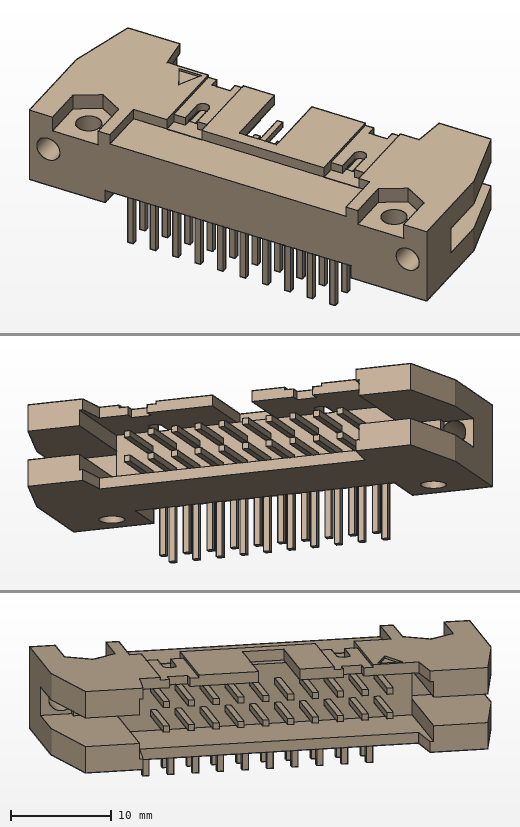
import cadquery as cq
import math


length = 45.0
depth = 17.3
height = 8.45
mid_z = height / 2
mouth_y = 13.8
lower_mouth_y = 13.72
arm_root_x = 14.25
arm_tip_inner_x = 14.65
arm_tip_outer_x = 20.55
taper_start_y = 10.0

wall = 1.12
cavity_length = 30.05
cavity_floor_y = 7.3
slot_height = 2.95
slot_outer_floor_y = 5.15
slot_inner_floor_y = 6.0
slot_step_x = 19.3

pins_per_row = 10
row_span = 22.85
pitch = row_span / (pins_per_row - 1)
pin_size = 0.65
pin_tip_y = 13.4
leg_drop = 4.55
rear_leg_y = 1.05

ledge_length = 26.75
ledge_depth_y = 5.0
pin_relief_length = 27.8
pin_relief_height = 1.5

hole_diameter = 2.6
nut_x = 17.3
nut_y = 2.85
nut_flats = 5.18
nut_trap_depth = 1.65
side_hole_x = 20.35
side_hole_z = 4.4

key_width = 4.25
key_floor_y = 6.35

channel_pitches = (-3, 4)
channel_width = 3.95
channel_depth = 0.25
channel_floor_depth = 1.15
channel_step_y = 6.5
window_width = 1.35
window_end_y = 9.6
nick_width = 2.05
nick_y = 12.8

mark_width = 2.5
mark_base_y = 13.4
mark_tip_y = 10.95
mark_depth = 0.22


def block(x_range, y_range, z_range):
    """Axis-aligned box spanning the given ranges."""
    (x0, x1), (y0, y1), (z0, z1) = x_range, y_range, z_range
    corner = cq.Workplane("XY", origin=(x0, y0, z0))
    return corner.box(x1 - x0, y1 - y0, z1 - z0, centered=False)


def centered_block(center_x, width, y_range, z_range):
    """Box of the given width about center_x."""
    return block((center_x - width / 2, center_x + width / 2), y_range, z_range)


def make_shell():
    half = length / 2
    right_side = [
        (half, 0),
        (half, taper_start_y),
        (arm_tip_outer_x, depth),
        (arm_tip_inner_x, depth),
        (arm_root_x, mouth_y),
    ]
    left_side = [(-x, y) for x, y in reversed(right_side)]
    shell = cq.Workplane("XY").polyline(right_side + left_side).close().extrude(height)
    lower_trim = centered_block(0, 2 * arm_root_x, (lower_mouth_y, depth), (0, mid_z))
    cavity = centered_block(0, cavity_length, (cavity_floor_y, depth), (wall, height - wall))
    return shell.cut(lower_trim).cut(cavity)


def make_latch_slots():
    z_range = (mid_z - slot_height / 2, mid_z + slot_height / 2)
    slots = centered_block(0, length, (cavity_floor_y, depth), z_range)
    steps = ((slot_step_x, slot_outer_floor_y), (cavity_length / 2, slot_inner_floor_y))
    for side in (-1, 1):
        for inner_x, floor_y in steps:
            x_range = sorted((side * inner_x, side * length / 2))
            slots = slots.union(block(x_range, (floor_y, depth), z_range))
    return slots


def make_rear_steps():
    top_ledge = centered_block(0, ledge_length, (0, ledge_depth_y), (height - wall, height))
    pin_relief = centered_block(0, pin_relief_length, (0, ledge_depth_y), (0, pin_relief_height))
    return top_ledge.union(pin_relief)


def make_mounting_cuts():
    sides = (-1, 1)
    holes = (
        cq.Workplane("XY")
        .pushPoints([(side * nut_x, nut_y) for side in sides])
        .circle(hole_diameter / 2)
        .extrude(height)
    )
    side_holes = (
        cq.Workplane("XZ")
        .pushPoints([(side * side_hole_x, side_hole_z) for side in sides])
        .circle(hole_diameter / 2)
        .extrude(-slot_outer_floor_y)
    )
    radius = nut_flats / math.sqrt(3)
    half_width = nut_flats / 2
    shoulder_y = nut_y + radius / 2
    outline = [
        (-half_width, 0),
        (half_width, 0),
        (half_width, shoulder_y),
        (0, nut_y + radius),
        (-half_width, shoulder_y),
    ]
    trap = cq.Workplane("XY").polyline(outline).close().extrude(nut_trap_depth)
    cuts = holes.union(side_holes)
    for side in sides:
        cuts = cuts.union(trap.translate((side * nut_x, 0, height - nut_trap_depth)))
    return cuts


def make_channel(center_x):
    """Shallow channel with a deep rear end, a round-ended window and a nick at the mouth."""
    through_wall = (height - wall, height)
    floor_z = height - channel_floor_depth
    skim = (height - channel_depth, height)
    channel = centered_block(center_x, channel_width, (ledge_depth_y, depth), skim)
    rear_end = centered_block(center_x, channel_width, (ledge_depth_y, channel_step_y), (floor_z, height))
    round_y = window_end_y - window_width / 2
    window = centered_block(center_x, window_width, (channel_step_y, round_y), (floor_z, height))
    window_round = (
        cq.Workplane("XY", origin=(center_x, round_y, floor_z))
        .circle(window_width / 2)
        .extrude(channel_floor_depth)
    )
    nick = centered_block(center_x, nick_width, (nick_y, depth), through_wall)
    return channel.union(rear_end).union(window).union(window_round).union(nick)


def make_first_pin_mark():
    center_x = -row_span / 2
    outline = [
        (center_x - mark_width / 2, mark_base_y),
        (center_x + mark_width / 2, mark_base_y),
        (center_x, mark_tip_y),
    ]
    mark_plane = cq.Workplane("XY", origin=(0, 0, height - mark_depth))
    return mark_plane.polyline(outline).close().extrude(mark_depth)


def make_pins():
    half = pin_size / 2
    pins = cq.Workplane("XY")
    for column in range(pins_per_row):
        x = column * pitch - row_span / 2
        for z, leg_y in ((mid_z + pitch / 2, rear_leg_y), (mid_z - pitch / 2, rear_leg_y + pitch)):
            leg = centered_block(x, pin_size, (leg_y - half, leg_y + half), (-leg_drop, z + half))
            contact = centered_block(x, pin_size, (leg_y - half, pin_tip_y), (z - half, z + half))
            pins = pins.add(leg.union(contact))
    return pins.combine()


body = make_shell().cut(make_latch_slots()).cut(make_rear_steps()).cut(make_mounting_cuts())
body = body.cut(centered_block(0, key_width, (key_floor_y, depth), (height - wall, height)))
for grid_step in channel_pitches:
    body = body.cut(make_channel(grid_step * pitch))
body = body.cut(make_first_pin_mark())

result = body.union(make_pins())